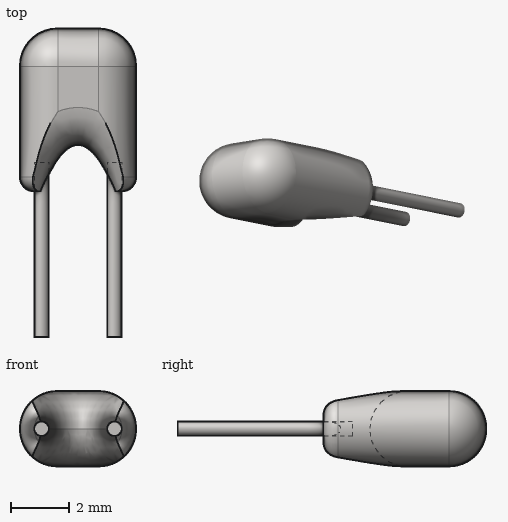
import cadquery as cq
import math

total_length = 10.6
coating_width = 4.0
coating_thickness = 2.6
coating_length = 5.6
lower_edge_radius = 0.5

lead_diameter = 0.5
lead_pitch = 2.5
lead_embedded_depth = 1.0

arch_height = 1.59
arch_half_width = 1.26
arch_overrun = 1.06
arch_overlap = 0.11

round_radius = coating_thickness / 2
round_center_x = coating_width / 2 - round_radius
shoulder_y = coating_length - round_radius


def make_rounded_blank():
    """Stadium-section block with a fully rounded upper end and a filleted lower end."""
    blank = (
        cq.Workplane("XZ")
        .slot2D(coating_width, coating_thickness)
        .extrude(-shoulder_y)
        .faces("<Y")
        .edges()
        .fillet(lower_edge_radius)
    )
    upper_round = (
        cq.Workplane("YZ", origin=(0, shoulder_y, 0))
        .circle(round_radius)
        .extrude(round_center_x, both=True)
    )
    blank = blank.union(upper_round)
    for side in (-1, 1):
        corner = cq.Workplane("YZ").sphere(round_radius).translate((side * round_center_x, shoulder_y, 0))
        blank = blank.union(corner)
    return blank


def make_arch_cutter():
    """Parabolic opening whose lips are rounded over half the coating thickness."""
    foot_y = -arch_overrun
    foot_half_width = arch_half_width * math.sqrt((arch_height + arch_overrun) / arch_height)
    control_y = 2 * arch_height - foot_y
    left_foot = cq.Vector(-foot_half_width, foot_y, 0)
    right_foot = cq.Vector(foot_half_width, foot_y, 0)
    parabola = cq.Edge.makeBezier([left_foot, cq.Vector(0, control_y, 0), right_foot])

    outline = cq.Wire.assembleEdges([parabola, cq.Edge.makeLine(right_foot, left_foot)])
    opening = cq.Solid.extrudeLinear(outline, [], cq.Vector(0, 0, coating_thickness))
    opening = opening.translate(cq.Vector(0, 0, -round_radius))

    lip_plane = cq.Plane(
        origin=left_foot.toTuple(),
        xDir=(-(control_y - foot_y), foot_half_width, 0),
        normal=parabola.tangentAt(0).toTuple(),
    )
    arc_offset = round_radius * (1 - math.sqrt(0.5))
    arc_z = round_radius * math.sqrt(0.5)
    lip = (
        cq.Workplane(lip_plane)
        .moveTo(-arch_overlap, -round_radius)
        .lineTo(round_radius, -round_radius)
        .threePointArc((arc_offset, -arc_z), (0, 0))
        .threePointArc((arc_offset, arc_z), (round_radius, round_radius))
        .lineTo(-arch_overlap, round_radius)
        .close()
        .sweep(cq.Workplane(cq.Wire.assembleEdges([parabola])))
    )
    return lip.union(cq.Workplane(opening))


def make_lead(center_x):
    """Straight round wire running from its free end into the coating."""
    free_length = total_length - coating_length
    return (
        cq.Workplane("XZ", origin=(center_x, lead_embedded_depth, 0))
        .circle(lead_diameter / 2)
        .extrude(free_length + lead_embedded_depth)
    )


leads = [make_lead(side * lead_pitch / 2) for side in (-1, 1)]

coating = make_rounded_blank().cut(make_arch_cutter())
for lead in leads:
    coating = coating.cut(lead)

result = cq.Compound.makeCompound([coating.solids().val(), *[lead.val() for lead in leads]])